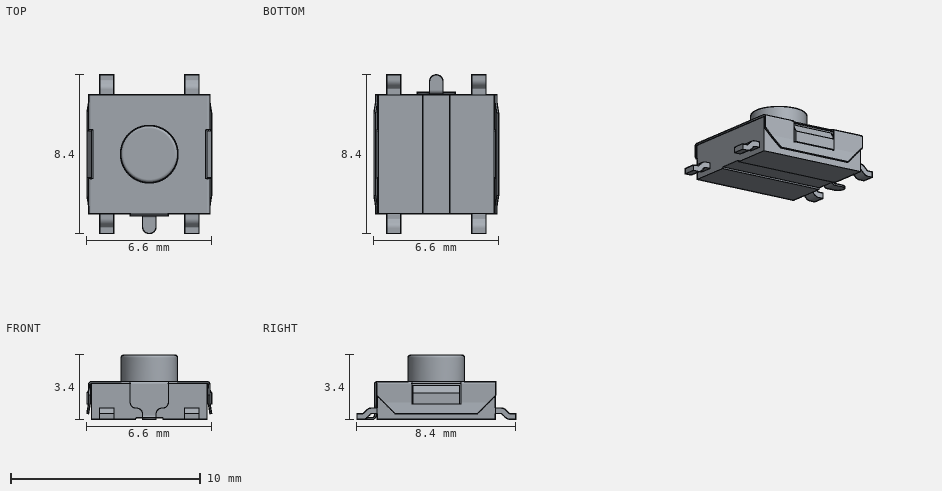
import cadquery as cq
import math


overall_length = 8.4
overall_width = 6.6
overall_height = 3.4

sheet = 0.1
bend_inner_radius = 0.05
bend_outer_radius = bend_inner_radius + sheet
cover_top = 2.0
cover_width = 6.42
cover_length = 6.3
cover_underside = cover_top - sheet
hole_diameter = 3.06

taper_start_z = 1.28
flap_bend_z = 0.89
flap_tip_z = 0.31
taper_angle = 45.0

hook_top_z = 1.79
hook_crest_z = 1.39
hook_bottom_z = 0.81
hook_length = 2.47
window_length = 2.59
window_inner_x = 2.965
window_corner_radius = 0.06

tab_outer_y = 3.28
tab_width = 2.02
tab_corner_radius = 0.3
tab_shoulder_z = 0.6
tongue_width = 0.72
tongue_bend_inner_radius = 0.1

housing_width = 6.115
housing_length = 6.25
housing_top = cover_underside
notch_top_width = 1.395
notch_bottom_width = 1.46
notch_height = 0.08

button_diameter = 3.0
button_edge_radius = 0.15

lead_width = 0.765
lead_spacing = 4.49
lead_thickness = 0.3
lead_bend_inner_radius = 0.071
lead_bend_start_y = 3.42
lead_bend_angle = 45.0


def make_housing():
    """Block with a shallow groove along its underside and a snap hook on each X side."""
    body = cq.Workplane("XY").box(housing_width, housing_length, housing_top, centered=(True, True, False))
    groove = (
        cq.Workplane("XZ")
        .polyline([
            (-notch_bottom_width / 2, 0),
            (-notch_top_width / 2, notch_height),
            (notch_top_width / 2, notch_height),
            (notch_bottom_width / 2, 0),
        ])
        .close()
        .extrude(housing_length / 2, both=True)
    )
    body = body.cut(groove)
    for side in (-1, 1):
        face_x = side * housing_width / 2
        crest_x = side * overall_width / 2
        hook = (
            cq.Workplane("XZ")
            .polyline([
                (0, hook_bottom_z),
                (crest_x, hook_bottom_z),
                (crest_x, hook_crest_z),
                (face_x, hook_top_z),
                (0, hook_top_z),
            ])
            .close()
            .extrude(hook_length / 2, both=True)
        )
        body = body.union(hook)
    return body


def make_cover_shell():
    """Top plate bent down into both side walls, each ending in a splayed flap."""
    outer_x = cover_width / 2
    inner_x = outer_x - sheet
    bend_x = outer_x - bend_outer_radius
    bend_z = cover_top - bend_outer_radius
    diagonal = math.sqrt(0.5)
    outer_mid = bend_outer_radius * diagonal
    inner_mid = bend_inner_radius * diagonal

    tip_outer_x = overall_width / 2
    splay = math.atan2(tip_outer_x - outer_x, flap_bend_z - flap_tip_z)
    tip_inner_x = tip_outer_x - sheet * math.cos(splay)
    tip_inner_z = flap_tip_z - sheet * math.sin(splay)
    inner_bend_z = flap_bend_z - sheet * math.tan(splay / 2)

    half_shell = (
        cq.Workplane("XZ")
        .moveTo(0, cover_top)
        .lineTo(bend_x, cover_top)
        .threePointArc((bend_x + outer_mid, bend_z + outer_mid), (outer_x, bend_z))
        .lineTo(outer_x, flap_bend_z)
        .lineTo(tip_outer_x, flap_tip_z)
        .lineTo(tip_inner_x, tip_inner_z)
        .lineTo(inner_x, inner_bend_z)
        .lineTo(inner_x, bend_z)
        .threePointArc((bend_x + inner_mid, bend_z + inner_mid), (bend_x, cover_underside))
        .lineTo(0, cover_underside)
        .close()
        .extrude(cover_length / 2, both=True)
    )
    shell = half_shell.union(half_shell.mirror("YZ"))

    half_length = cover_length / 2
    tip_half_length = half_length - taper_start_z / math.tan(math.radians(taper_angle))
    outline = (
        cq.Workplane("YZ")
        .polyline([
            (-half_length, cover_top),
            (half_length, cover_top),
            (half_length, taper_start_z),
            (tip_half_length, 0),
            (-tip_half_length, 0),
            (-half_length, taper_start_z),
        ])
        .close()
        .extrude(overall_width / 2, both=True)
    )
    return shell.intersect(outline)


def make_window_cutter(side):
    """Window through the bend and side wall of the cover, rounded at its inner corners."""
    depth = overall_width / 2 - window_inner_x
    cutter = (
        cq.Workplane("XY")
        .box(depth, window_length, cover_top - hook_bottom_z, centered=(False, True, False))
        .edges("|Z and <X")
        .fillet(window_corner_radius)
        .translate((window_inner_x, 0, hook_bottom_z))
    )
    return cutter if side > 0 else cutter.mirror("YZ")


def make_tab_outline():
    """Front outline of the ground tab: wide plate, S-shaped shoulders, narrow tongue."""
    r = tab_corner_radius
    near = r * (1 - math.sqrt(0.5))
    half_tab = tab_width / 2
    half_tongue = tongue_width / 2
    return (
        cq.Workplane("XZ")
        .moveTo(-half_tab, cover_top)
        .lineTo(half_tab, cover_top)
        .lineTo(half_tab, tab_shoulder_z + r)
        .threePointArc((half_tab - near, tab_shoulder_z + near), (half_tab - r, tab_shoulder_z))
        .lineTo(half_tongue + r, tab_shoulder_z)
        .threePointArc((half_tongue + near, tab_shoulder_z - near), (half_tongue, tab_shoulder_z - r))
        .lineTo(half_tongue, 0)
        .lineTo(-half_tongue, 0)
        .lineTo(-half_tongue, tab_shoulder_z - r)
        .threePointArc((-half_tongue - near, tab_shoulder_z - near), (-half_tongue - r, tab_shoulder_z))
        .lineTo(-half_tab + r, tab_shoulder_z)
        .threePointArc((-half_tab + near, tab_shoulder_z + near), (-half_tab, tab_shoulder_z + r))
        .close()
        .extrude(overall_length / 2)
    )


def make_ground_tab():
    """Strip bent down from the top plate, then out along the seating plane to a round end."""
    outer_y = -tab_outer_y
    inner_y = outer_y + sheet
    top_bend_y = outer_y + bend_outer_radius
    top_bend_z = cover_top - bend_outer_radius
    foot_bend_z = sheet + tongue_bend_inner_radius
    foot_bend_y = outer_y - tongue_bend_inner_radius
    tip_radius = tongue_width / 2
    tip_y = tip_radius - overall_length / 2
    diagonal = math.sqrt(0.5)
    top_outer_mid = bend_outer_radius * diagonal
    top_inner_mid = bend_inner_radius * diagonal
    foot_inner_mid = tongue_bend_inner_radius * diagonal
    foot_outer_mid = foot_bend_z * diagonal

    strip = (
        cq.Workplane("YZ")
        .moveTo(top_bend_y, cover_top)
        .threePointArc((top_bend_y - top_outer_mid, top_bend_z + top_outer_mid), (outer_y, top_bend_z))
        .lineTo(outer_y, foot_bend_z)
        .threePointArc((foot_bend_y + foot_inner_mid, foot_bend_z - foot_inner_mid), (foot_bend_y, sheet))
        .lineTo(tip_y, sheet)
        .lineTo(tip_y, 0)
        .lineTo(foot_bend_y, 0)
        .threePointArc((foot_bend_y + foot_outer_mid, foot_bend_z - foot_outer_mid), (inner_y, foot_bend_z))
        .lineTo(inner_y, top_bend_z)
        .threePointArc((top_bend_y - top_inner_mid, top_bend_z + top_inner_mid), (top_bend_y, cover_underside))
        .close()
        .extrude(tab_width / 2, both=True)
    )
    tab = strip.intersect(make_tab_outline())
    round_end = cq.Workplane("XY").center(0, tip_y).circle(tip_radius).extrude(sheet)
    return tab.union(round_end)


def make_cover():
    """Bent cover with the button hole, the two hook windows and the ground tab."""
    cover = make_cover_shell()
    for side in (-1, 1):
        cover = cover.cut(make_window_cutter(side))
    cover = cover.union(make_ground_tab())
    hole = cq.Workplane("XY").circle(hole_diameter / 2).extrude(overall_height)
    return cover.cut(hole)


def make_button():
    """Round button standing on the housing, with a rounded top edge."""
    return (
        cq.Workplane("XY")
        .workplane(offset=housing_top)
        .circle(button_diameter / 2)
        .extrude(overall_height - housing_top)
        .faces(">Z")
        .edges()
        .fillet(button_edge_radius)
    )


def make_lead(x_center, side):
    """Gull-wing lead of constant thickness leaving the housing on the given Y side."""
    inner_r = lead_bend_inner_radius
    outer_r = inner_r + lead_thickness
    angle = math.radians(lead_bend_angle)
    drop = lead_thickness
    slope_run = (drop - (inner_r + outer_r) * (1 - math.cos(angle))) / math.tan(angle)

    upper_y = lead_bend_start_y
    upper_z = lead_thickness - inner_r
    lower_y = upper_y + (inner_r + outer_r) * math.sin(angle) + slope_run
    lower_z = outer_r

    def upper(radius, turn):
        return (upper_y + radius * math.sin(turn), upper_z + radius * math.cos(turn))

    def lower(radius, turn):
        return (lower_y - radius * math.sin(turn), lower_z - radius * math.cos(turn))

    lead = (
        cq.Workplane("YZ")
        .moveTo(housing_length / 2, 2 * lead_thickness)
        .lineTo(*upper(outer_r, 0))
        .threePointArc(upper(outer_r, angle / 2), upper(outer_r, angle))
        .lineTo(*lower(inner_r, angle))
        .threePointArc(lower(inner_r, angle / 2), lower(inner_r, 0))
        .lineTo(overall_length / 2, lead_thickness)
        .lineTo(overall_length / 2, 0)
        .lineTo(*lower(outer_r, 0))
        .threePointArc(lower(outer_r, angle / 2), lower(outer_r, angle))
        .lineTo(*upper(inner_r, angle))
        .threePointArc(upper(inner_r, angle / 2), upper(inner_r, 0))
        .lineTo(housing_length / 2, lead_thickness)
        .close()
        .extrude(lead_width / 2, both=True)
        .translate((x_center, 0, 0))
    )
    return lead if side > 0 else lead.mirror("XZ")


housing = make_housing()
cover = make_cover()
button = make_button()

leads = []
for x_side in (-1, 1):
    for y_side in (-1, 1):
        leads.append(make_lead(x_side * lead_spacing / 2, y_side))

result = cq.Compound.makeCompound([
    housing.solids().val(),
    cover.solids().val(),
    button.solids().val(),
    *[lead.solids().val() for lead in leads],
])